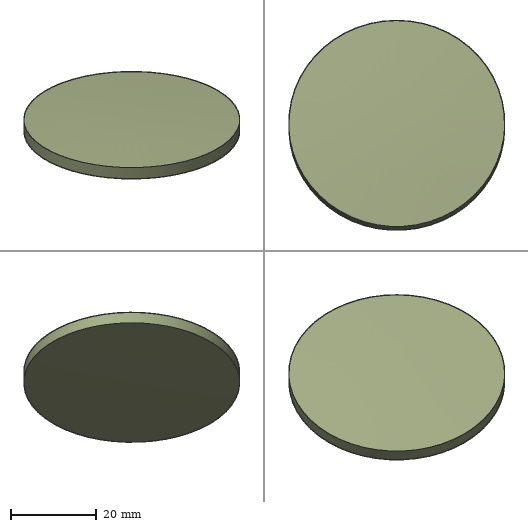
import cadquery as cq

diameter = 50.8
center_thickness = 4.25
edge_thickness = 3.0

radius = diameter / 2
half_center = center_thickness / 2
half_edge = edge_thickness / 2
cap_height = half_center - half_edge

sphere_radius = (radius**2 + cap_height**2) / (2 * cap_height)
sphere_center_offset = sphere_radius - half_center

mid_radius = radius / 2
mid_height = (sphere_radius**2 - mid_radius**2) ** 0.5 - sphere_center_offset

half_section = (
    cq.Workplane("XZ")
    .moveTo(0, -half_center)
    .threePointArc((mid_radius, -mid_height), (radius, -half_edge))
    .lineTo(radius, half_edge)
    .threePointArc((mid_radius, mid_height), (0, half_center))
    .close()
)

result = half_section.revolve(360, (0, 0), (0, 1))